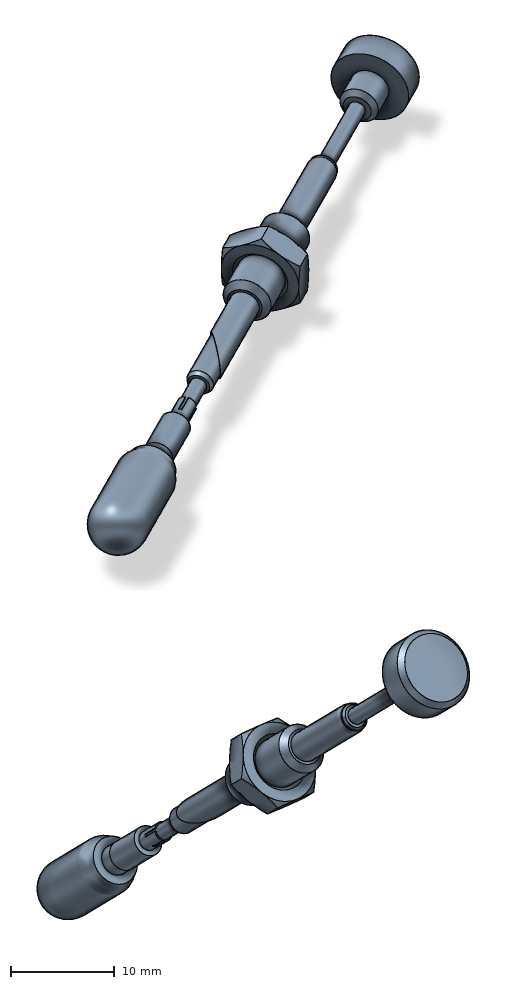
import cadquery as cq
import math


KNOB_BACK = 76.2
KNOB_RADIUS = 8.0 / 2
KNOB_LENGTH = 3.5
KNOB_NECK_RADIUS = 2.0
KNOB_NECK_LENGTH = 3.5
KNOB_CHAMFER = 0.5

ROD_RADIUS = 0.85

INNER_TUBE_RADIUS = 1.4
INNER_TUBE_BACK = 60.2
INNER_TUBE_FRONT = 25.2
INNER_TUBE_CHAMFER_LENGTH = 0.45
INNER_TUBE_CHAMFER_DEPTH = 0.2
OUTER_TUBE_RADIUS = 1.5
OUTER_TUBE_BACK = 60.0
OUTER_TUBE_CHAMFER_LENGTH = 0.7
OUTER_TUBE_CHAMFER_DEPTH = 0.115
SLANT_CENTRE = 29.95
SLANT_ANGLE = 30.0

BUSH_RADIUS = 4.95 / 2
BUSH_BACK = 50.1
BUSH_LENGTH = 12.05
BUSH_CHAMFER = 0.7
NUT_ACROSS_FLATS = 8.0
NUT_BACK = 45.0
NUT_THICKNESS = 2.75
NUT_CHAMFER_ANGLE = 30.0
NUT_COUNTERSINK = 0.4

COLLET_RADIUS = 1.0
COLLET_BACK = 22.0
SLOT_WIDTH = 0.3
SLOT_LENGTH = 1.9
SLEEVE_RADIUS = 1.5
SLEEVE_BACK = 18.9
SLEEVE_FRONT = 14.0

PLUG_RADIUS = 6.0 / 2
PLUG_NECK_RADIUS = SLEEVE_RADIUS
PLUG_SHOULDER = 12.4
PLUG_SHOULDER_RADIUS = 2.45
PLUG_OGEE_LENGTH = 1.8


def cylinder(back, front, radius):
    """Solid cylinder on the Y axis between two stations."""
    return cq.Workplane("XZ", origin=(0, back, 0)).circle(radius).extrude(back - front)


def revolve_on_axis(profile):
    """Revolve a closed (radius, Y) profile about the Y axis."""
    return profile.close().revolve(360, (0, 0, 0), (0, 1, 0))


def make_knob():
    head_front = KNOB_BACK - KNOB_LENGTH
    neck_front = head_front - KNOB_NECK_LENGTH
    head = cylinder(KNOB_BACK, head_front, KNOB_RADIUS).faces(">Y").chamfer(KNOB_CHAMFER)
    neck = cylinder(head_front, neck_front, KNOB_NECK_RADIUS).faces("<Y").chamfer(KNOB_CHAMFER)
    return head.union(neck).cut(cylinder(head_front, neck_front, ROD_RADIUS))


def make_rod():
    return cylinder(KNOB_BACK - KNOB_LENGTH, SLEEVE_BACK, ROD_RADIUS)


def make_inner_tube():
    end_radius = INNER_TUBE_RADIUS - INNER_TUBE_CHAMFER_DEPTH
    return revolve_on_axis(
        cq.Workplane("XY")
        .moveTo(ROD_RADIUS, INNER_TUBE_FRONT)
        .lineTo(end_radius, INNER_TUBE_FRONT)
        .lineTo(INNER_TUBE_RADIUS, INNER_TUBE_FRONT + INNER_TUBE_CHAMFER_LENGTH)
        .lineTo(INNER_TUBE_RADIUS, INNER_TUBE_BACK - INNER_TUBE_CHAMFER_LENGTH)
        .lineTo(end_radius, INNER_TUBE_BACK)
        .lineTo(ROD_RADIUS, INNER_TUBE_BACK)
    )


def make_outer_tube():
    slant_reach = OUTER_TUBE_RADIUS / math.tan(math.radians(SLANT_ANGLE))
    low_front = SLANT_CENTRE - slant_reach
    high_front = SLANT_CENTRE + slant_reach
    tube = revolve_on_axis(
        cq.Workplane("XY")
        .moveTo(INNER_TUBE_RADIUS, low_front)
        .lineTo(OUTER_TUBE_RADIUS, low_front)
        .lineTo(OUTER_TUBE_RADIUS, OUTER_TUBE_BACK - OUTER_TUBE_CHAMFER_LENGTH)
        .lineTo(OUTER_TUBE_RADIUS - OUTER_TUBE_CHAMFER_DEPTH, OUTER_TUBE_BACK)
        .lineTo(INNER_TUBE_RADIUS, OUTER_TUBE_BACK)
    )
    wedge = (
        cq.Workplane("XY")
        .polyline([
            (-OUTER_TUBE_RADIUS, high_front),
            (OUTER_TUBE_RADIUS, low_front),
            (-OUTER_TUBE_RADIUS, low_front),
        ])
        .close()
        .extrude(OUTER_TUBE_RADIUS, both=True)
    )
    return tube.cut(wedge)


def make_bush():
    front = BUSH_BACK - BUSH_LENGTH
    body = cylinder(BUSH_BACK, front, BUSH_RADIUS).faces("<Y or >Y").chamfer(BUSH_CHAMFER)
    return body.cut(cylinder(BUSH_BACK, front, OUTER_TUBE_RADIUS))


def make_nut():
    front = NUT_BACK - NUT_THICKNESS
    flat_radius = NUT_ACROSS_FLATS / 2
    corner_radius = 2 * flat_radius / math.sqrt(3)
    chamfer_length = (corner_radius - flat_radius) * math.tan(math.radians(NUT_CHAMFER_ANGLE))
    hexagon = (
        cq.Workplane("XZ", origin=(0, NUT_BACK, 0))
        .transformed(rotate=(0, 0, 90))
        .polygon(6, 2 * corner_radius)
        .extrude(NUT_THICKNESS)
    )
    blank = revolve_on_axis(
        cq.Workplane("XY")
        .moveTo(0, front)
        .lineTo(flat_radius, front)
        .lineTo(corner_radius, front + chamfer_length)
        .lineTo(corner_radius, NUT_BACK - chamfer_length)
        .lineTo(flat_radius, NUT_BACK)
        .lineTo(0, NUT_BACK)
    )
    mouth_radius = BUSH_RADIUS + NUT_COUNTERSINK
    bore = revolve_on_axis(
        cq.Workplane("XY")
        .moveTo(0, front)
        .lineTo(mouth_radius, front)
        .lineTo(BUSH_RADIUS, front + NUT_COUNTERSINK)
        .lineTo(BUSH_RADIUS, NUT_BACK - NUT_COUNTERSINK)
        .lineTo(mouth_radius, NUT_BACK)
        .lineTo(0, NUT_BACK)
    )
    return hexagon.intersect(blank).cut(bore)


def make_collet():
    collet = cylinder(COLLET_BACK, SLEEVE_BACK, COLLET_RADIUS)
    collet = collet.cut(cylinder(COLLET_BACK, SLEEVE_BACK, ROD_RADIUS))
    for slot_angle in (0, 90):
        slot = (
            cq.Workplane("XZ", origin=(0, COLLET_BACK, 0))
            .transformed(rotate=(0, 0, slot_angle))
            .rect(2 * COLLET_RADIUS, SLOT_WIDTH)
            .extrude(SLOT_LENGTH)
        )
        collet = collet.cut(slot)
    return collet


def make_sleeve():
    return cylinder(SLEEVE_BACK, SLEEVE_FRONT, SLEEVE_RADIUS)


def make_plug():
    ogee_front = PLUG_SHOULDER - PLUG_OGEE_LENGTH
    arc_length = PLUG_OGEE_LENGTH / 2
    ogee_middle = PLUG_SHOULDER - arc_length
    ogee_middle_radius = (PLUG_SHOULDER_RADIUS + PLUG_RADIUS) / 2
    arc_rise = (PLUG_RADIUS - PLUG_SHOULDER_RADIUS) / 2
    arc_radius = (arc_length**2 + arc_rise**2) / (2 * arc_rise)
    dome_diagonal = PLUG_RADIUS * math.sqrt(0.5)
    return revolve_on_axis(
        cq.Workplane("XY")
        .moveTo(0, SLEEVE_FRONT)
        .lineTo(PLUG_NECK_RADIUS, SLEEVE_FRONT)
        .lineTo(PLUG_NECK_RADIUS, PLUG_SHOULDER)
        .lineTo(PLUG_SHOULDER_RADIUS, PLUG_SHOULDER)
        .radiusArc((ogee_middle_radius, ogee_middle), -arc_radius)
        .radiusArc((PLUG_RADIUS, ogee_front), arc_radius)
        .lineTo(PLUG_RADIUS, PLUG_RADIUS)
        .threePointArc((dome_diagonal, PLUG_RADIUS - dome_diagonal), (0, 0))
    )


knob = make_knob()
rod = make_rod()
inner_tube = make_inner_tube()
outer_tube = make_outer_tube()
bush = make_bush()
nut = make_nut()
collet = make_collet()
sleeve = make_sleeve()
plug = make_plug()

result = cq.Compound.makeCompound([
    knob.val(),
    rod.val(),
    inner_tube.val(),
    outer_tube.val(),
    bush.val(),
    nut.val(),
    collet.val(),
    sleeve.val(),
    plug.val(),
])